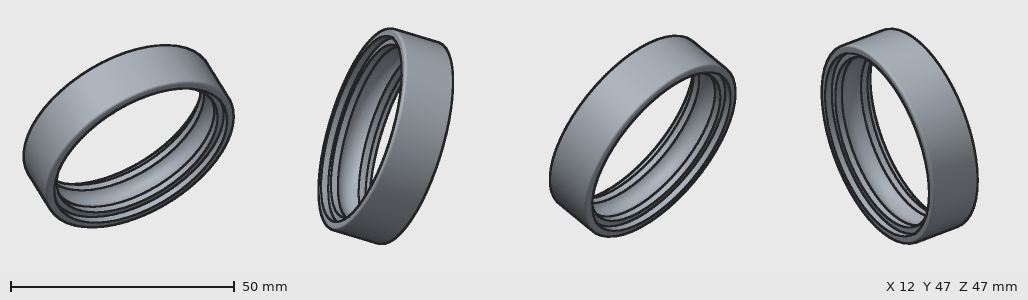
import cadquery as cq

width = 12.0
outer_diameter = 47.0
outer_radius = outer_diameter / 2
edge_fillet = 0.6
shoulder_radius = 20.1
seal_seat_radius = 21.6
seal_seat_depth = 1.75
raceway_width = 5.1
raceway_depth = 1.03


def cylinder(radius, start_x, length):
    """Solid cylinder along X, starting at start_x."""
    return cq.Workplane("YZ", origin=(start_x, 0, 0)).circle(radius).extrude(length)


def ring_blank():
    """Plain ring with both outer rims rounded."""
    rounded_disc = cylinder(outer_radius, -width / 2, width).edges().fillet(edge_fillet)
    return rounded_disc.cut(cylinder(shoulder_radius, -width / 2, width))


def raceway_half(side):
    """Cutter for the arc-section ball groove on one side (-1 or 1) of mid-width."""
    half_width = raceway_width / 2
    arc_radius = (half_width**2 + raceway_depth**2) / (2 * raceway_depth)
    groove_radius = shoulder_radius + raceway_depth
    return (
        cq.Workplane("XY")
        .lineTo(0, groove_radius)
        .radiusArc((side * half_width, shoulder_radius), side * arc_radius)
        .lineTo(side * half_width, 0)
        .close()
        .revolve(360, (0, 0, 0), (1, 0, 0))
    )


result = ring_blank()
for seat_start in (-width / 2, width / 2 - seal_seat_depth):
    result = result.cut(cylinder(seal_seat_radius, seat_start, seal_seat_depth))
for raceway_side in (-1, 1):
    result = result.cut(raceway_half(raceway_side))